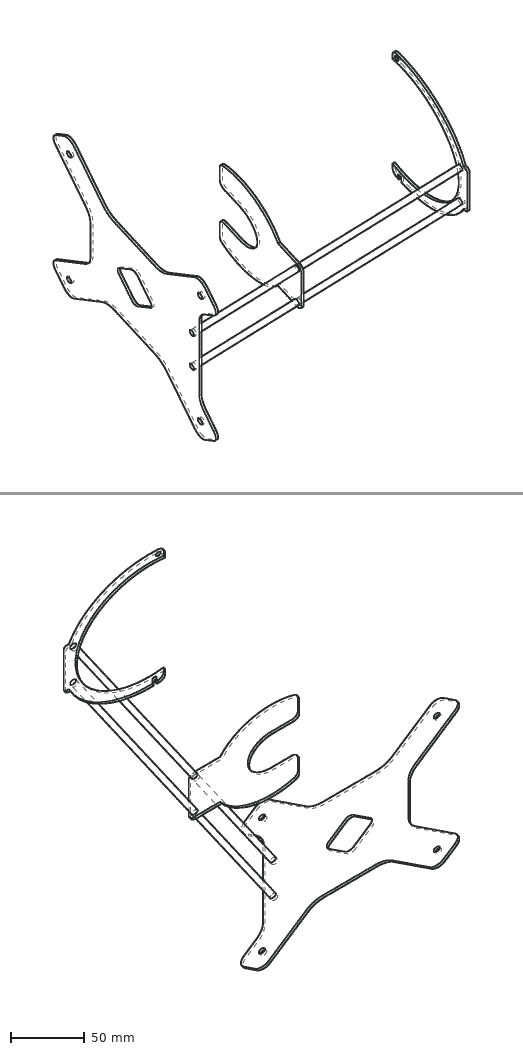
import cadquery as cq
import math

plate_thickness = 2.0
overall_length = 232.0

rod_diameter = 5.0
rod_x = 65.0
rod_z = 20.0

body_left = -50.0
body_right = 73.3
body_half_height = 52.0
arm_half_width = 15.0
arm_reach = 120.0
arm_tip_radius = 8.1
arm_root_radius = 20.0
mount_hole_offset = 74.2
mount_hole_diameter = 5.0
window_side = 2 * arm_half_width
window_corner_radius = 5.0

tab_half_height = 25.0

middle_front_y = 90.0
middle_radius = 50.0
middle_left = -22.5
middle_slot_radius = 20.0
middle_corner_radius = 5.0
middle_tab_radius = tab_half_height - rod_z
middle_right = rod_x + middle_tab_radius

ring_outer_radius = 73.0
ring_inner_radius = 63.0
ring_left = -11.8
ring_right = ring_outer_radius
ring_corner_radius = 5.0
ring_tab_radius = 3.0
ring_hole_x = -7.2
ring_hole_z = 67.5
ring_hole_diameter = 4.0
hook_x = -4.0
hook_z = -69.0
hook_diameter = 3.7
hook_slot_width = 2.5

rear_front_y = overall_length - plate_thickness
rod_places = [(rod_x, rod_z), (rod_x, -rod_z)]


pick_margin = 0.2


def sketch_plane(y):
    """Workplane at the given Y with local axes X and Z; its normal points toward -Y."""
    return cq.Workplane("XZ", origin=(0, y, 0))


def slab(sketch):
    """Extrude a sketch one plate thickness toward +Y."""
    return sketch.extrude(-plate_thickness)


def box_between(y, left, right, bottom, top):
    """Plate-thick rectangle between the given X and Z limits."""
    centre = ((left + right) / 2, (bottom + top) / 2)
    return slab(sketch_plane(y).center(*centre).rect(right - left, top - bottom))


def drill(plate, y, places, diameter):
    """Cut round holes through the plate whose front face lies at the given Y."""
    return plate.cut(slab(sketch_plane(y).pushPoints(places).circle(diameter / 2)))


def round_corners(plate, radius, places):
    """Fillet the edges along Y that pass through the given (x, z) places."""
    for x, z in places:
        corner = cq.selectors.BoxSelector(
            (x - pick_margin, -pick_margin, z - pick_margin),
            (x + pick_margin, overall_length + pick_margin, z + pick_margin),
        )
        plate = plate.edges("|Y").edges(corner).fillet(radius)
    return plate


def mirrored(places):
    """The given (x, z) places followed by their mirror images in Z, in outline order."""
    return places + [(x, -z) for x, z in reversed(places)]


def make_front_plate():
    edge_shift = arm_half_width * math.sqrt(2)
    tip_near = (arm_reach - arm_half_width) / math.sqrt(2)
    tip_far = (arm_reach + arm_half_width) / math.sqrt(2)
    top_root_x = body_half_height - edge_shift

    left_root = (body_left, -body_left - edge_shift)
    left_tip = [(-tip_far, tip_near), (-tip_near, tip_far)]
    top_roots = [(-top_root_x, body_half_height), (top_root_x, body_half_height)]
    right_tip = [(tip_near, tip_far), (tip_far, tip_near)]
    right_root = (body_right, body_right - edge_shift)

    upper_outline = [left_root, *left_tip, *top_roots, *right_tip, right_root]
    plate = slab(sketch_plane(0).polyline(mirrored(upper_outline)).close())
    plate = round_corners(plate, arm_tip_radius, mirrored(left_tip + right_tip))
    plate = round_corners(plate, arm_root_radius, mirrored([left_root, *top_roots, right_root]))

    window = slab(sketch_plane(0).rect(window_side, window_side))
    window = window.edges("|Y").fillet(window_corner_radius)
    plate = plate.cut(window.rotate((0, 0, 0), (0, 1, 0), 45))

    mounts = mirrored([(-mount_hole_offset, mount_hole_offset), (mount_hole_offset, mount_hole_offset)])
    plate = drill(plate, 0, mounts, mount_hole_diameter)
    return drill(plate, 0, rod_places, rod_diameter)


def make_middle_plate():
    y = middle_front_y
    disc = slab(sketch_plane(y).circle(middle_radius))
    plate = disc.intersect(box_between(y, middle_left, middle_radius, -middle_radius, middle_radius))
    plate = plate.union(box_between(y, 0, middle_right, -tab_half_height, tab_half_height))
    plate = plate.cut(slab(sketch_plane(y).circle(middle_slot_radius)))
    plate = plate.cut(box_between(y, middle_left, 0, -middle_slot_radius, middle_slot_radius))

    outer_z = math.sqrt(middle_radius**2 - middle_left**2)
    end_corners = mirrored([(middle_left, outer_z), (middle_left, middle_slot_radius)])
    plate = round_corners(plate, middle_corner_radius, end_corners)
    plate = round_corners(plate, middle_tab_radius, mirrored([(middle_right, tab_half_height)]))
    return drill(plate, y, rod_places, rod_diameter)


def make_rear_ring():
    y = rear_front_y
    disc = slab(sketch_plane(y).circle(ring_outer_radius))
    ring = disc.intersect(box_between(y, ring_left, ring_outer_radius, -ring_outer_radius, ring_outer_radius))
    ring = ring.union(box_between(y, 0, ring_right, -tab_half_height, tab_half_height))
    ring = ring.cut(slab(sketch_plane(y).circle(ring_inner_radius)))

    outer_z = math.sqrt(ring_outer_radius**2 - ring_left**2)
    ring = round_corners(ring, ring_corner_radius, mirrored([(ring_left, outer_z)]))
    ring = round_corners(ring, ring_tab_radius, mirrored([(ring_right, tab_half_height)]))

    ring = drill(ring, y, [(ring_hole_x, ring_hole_z)], ring_hole_diameter)
    ring = drill(ring, y, [(hook_x, hook_z)], hook_diameter)
    slot_right = hook_x + hook_diameter / 2
    ring = ring.cut(box_between(y, slot_right - hook_slot_width, slot_right, -ring_outer_radius, hook_z))
    return drill(ring, y, rod_places, rod_diameter)


def make_rod(x, z):
    """Rod through all three plates, flush with the outer faces of the front plate and the ring."""
    return sketch_plane(0).center(x, z).circle(rod_diameter / 2).extrude(-overall_length)


front_plate = make_front_plate()
middle_plate = make_middle_plate()
rear_ring = make_rear_ring()
rods = [make_rod(x, z) for x, z in rod_places]

result = cq.Compound.makeCompound(
    [front_plate.val(), middle_plate.val(), rear_ring.val(), *[rod.val() for rod in rods]]
)